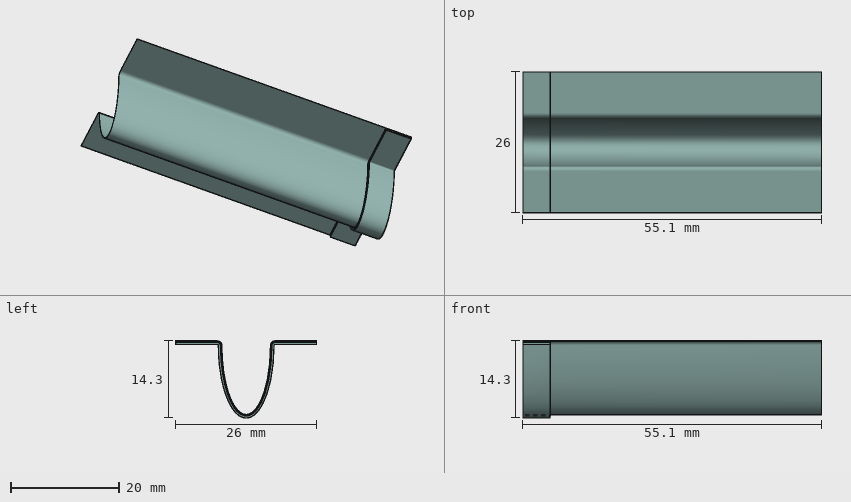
import cadquery as cq

length = 55.1
width = 26.0
height = 14.25

end_length = 5.0
liner_thickness = 0.2
sheet_thickness = 0.1
backing_thickness = 0.4
backing_depth = liner_thickness + sheet_thickness
total_thickness = backing_depth + backing_thickness

bend_radius = 0.9
channel_half_width = 4.45
bend_center_y = channel_half_width + bend_radius
channel_depth = height - total_thickness - bend_radius
diagonal = 0.5 ** 0.5


def region_below(depth, x_start, x_length):
    """Block under the surface that lies `depth` below the top surface."""
    half_width = width / 2
    radius = bend_radius - depth
    wall_y = channel_half_width + depth
    trough_bottom = -bend_radius - channel_depth - depth
    floor = -2 * height
    middle_y = bend_center_y - radius * diagonal
    middle_z = -bend_radius + radius * diagonal
    return (
        cq.Workplane("YZ", origin=(x_start, 0, 0))
        .moveTo(-half_width, -depth)
        .lineTo(-bend_center_y, -depth)
        .threePointArc((-middle_y, middle_z), (-wall_y, -bend_radius))
        .ellipseArc(wall_y, -bend_radius - trough_bottom, 180, 270, startAtCurrent=True)
        .ellipseArc(wall_y, -bend_radius - trough_bottom, 270, 360, startAtCurrent=True)
        .threePointArc((middle_y, middle_z), (bend_center_y, -depth))
        .lineTo(half_width, -depth)
        .lineTo(half_width, floor)
        .lineTo(-half_width, floor)
        .close()
        .extrude(x_length)
    )


def formed_layer(top_depth, bottom_depth, x_start, x_length):
    """Flanged trough filling the space between two depths below the top surface."""
    upper = region_below(top_depth, x_start, x_length)
    lower = region_below(bottom_depth, x_start, x_length)
    return upper.cut(lower)


def make_sheet():
    """Long sheet that steps outward into the gap between the liner and the backing."""
    exposed = formed_layer(0, sheet_thickness, end_length, length - end_length)
    step = formed_layer(0, backing_depth, end_length, sheet_thickness)
    clamped = formed_layer(liner_thickness, backing_depth, 0, end_length + sheet_thickness)
    return exposed.union(step).union(clamped)


sheet = make_sheet()

liner = formed_layer(0, liner_thickness, 0, end_length)

backing = formed_layer(backing_depth, total_thickness, 0, end_length)

result = cq.Compound.makeCompound([sheet.val(), liner.val(), backing.val()])